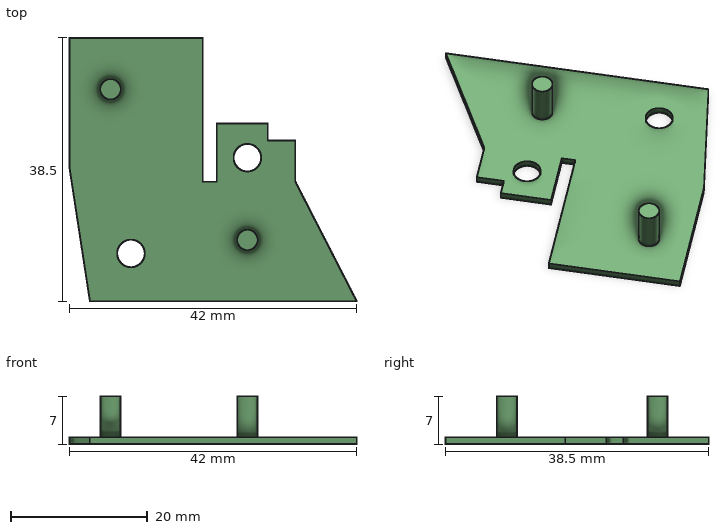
import cadquery as cq

plate_length = 42.0
plate_depth = 38.5
plate_thickness = 1.0
total_height = 7.0
front_left_inset = 3.0
left_bend_y = 19.5

arm_width = 19.5
slot_width = 2.0
slot_floor_y = 17.5
tab_rear_y = 26.0
tab_step_x = 29.0
tab_step_y = 23.5
tab_right_x = 33.0
tab_left_x = arm_width + slot_width

hole_diameter = 4.0
hole_centers = [(9.0, 7.0), (26.0, 21.0)]
pin_diameter = 3.0
pin_centers = [(6.0, 31.0), (26.0, 9.0)]

outline = [
    (front_left_inset, 0),
    (plate_length, 0),
    (tab_right_x, slot_floor_y),
    (tab_right_x, tab_step_y),
    (tab_step_x, tab_step_y),
    (tab_step_x, tab_rear_y),
    (tab_left_x, tab_rear_y),
    (tab_left_x, slot_floor_y),
    (arm_width, slot_floor_y),
    (arm_width, plate_depth),
    (0, plate_depth),
    (0, left_bend_y),
]


def cylinders(centers, diameter, height):
    """Vertical cylinders standing on the underside plane of the plate."""
    return cq.Workplane("XY").pushPoints(centers).circle(diameter / 2).extrude(height)


plate = cq.Workplane("XY").polyline(outline).close().extrude(plate_thickness)
holes = cylinders(hole_centers, hole_diameter, plate_thickness)
pins = cylinders(pin_centers, pin_diameter, total_height)

result = plate.cut(holes).union(pins)